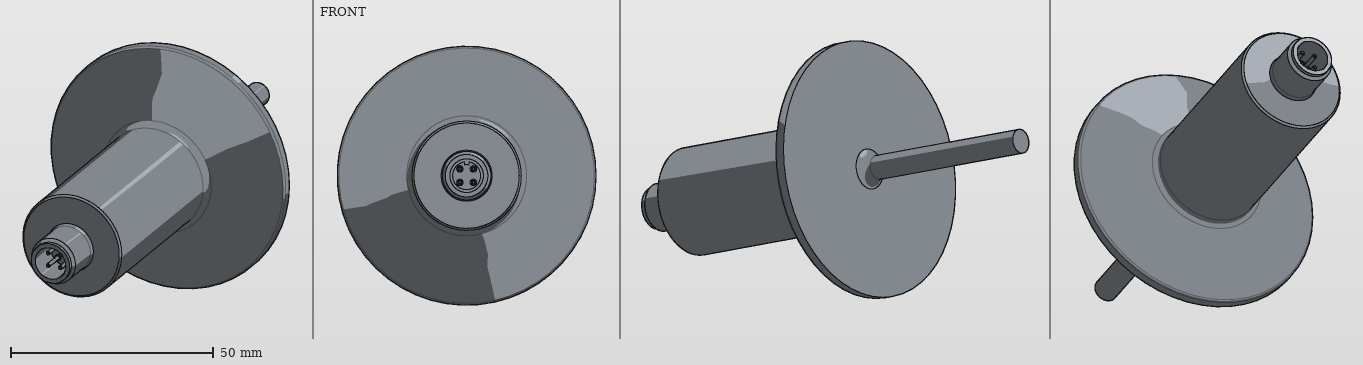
import cadquery as cq
import math


ROD_DIAMETER = 6.0
ROD_LENGTH = 50.0
ROD_FLARE_RADIUS = 3.0
ROD_FLARE_BASE_DIAMETER = 10.0

FLANGE_DIAMETER = 64.0
RIM_THICKNESS = 2.2
RIM_EDGE_RADIUS = 0.7
FLANGE_SLOPE = 20.0
FLANGE_NECK_RADIUS = 2.0

HOUSING_DIAMETER = 27.0
HOUSING_END = -58.5
HOUSING_CHAMFER = 0.5
END_FACE_DROP = 0.7

PLUG_BASE_Y = HOUSING_END - END_FACE_DROP
PLUG_DIAMETER = 12.0
PLUG_TIP_DIAMETER = 10.5
PLUG_COLLAR_DIAMETER = 12.6
PLUG_COLLAR_LENGTH = 1.1
PART_END = -70.69
PLUG_TIP_LENGTH = 1.0

SOCKET_DIAMETER = 8.3
SOCKET_DEPTH = 9.0
SOCKET_FLOOR_Y = PART_END + SOCKET_DEPTH
INSERT_DIAMETER = 6.9
INSERT_HEIGHT = 1.0
INSERT_TOP_Y = SOCKET_FLOOR_Y - INSERT_HEIGHT
KEYWAY_WIDTH = 1.1
KEYWAY_ROOT_DIAMETER = 5.44
PIN_DIAMETER = 1.0
PIN_TIP_CHAMFER = 0.2
PIN_CIRCLE_DIAMETER = 4.7
PIN_COUNT = 4
PIN_FIRST_ANGLE = 45.0
PIN_RECESS = 2.0
PIN_COLLAR_DIAMETER = 1.6
PIN_COLLAR_HEIGHT = 0.3


def turn(outline):
    """Solid of revolution about Y from a closed outline in the XY plane."""
    return outline.close().revolve(360, (0, 0, 0), (0, 1, 0))


def make_probe():
    """Rod with a concave flare: an arc tangent to the rod that ends on the flange face."""
    rod_r = ROD_DIAMETER / 2
    flare_r = ROD_FLARE_BASE_DIAMETER / 2
    flare_turn = math.acos(1 - (flare_r - rod_r) / ROD_FLARE_RADIUS)
    flare_start_y = ROD_FLARE_RADIUS * math.sin(flare_turn)
    flare_mid = (
        rod_r + ROD_FLARE_RADIUS * (1 - math.cos(flare_turn / 2)),
        flare_start_y - ROD_FLARE_RADIUS * math.sin(flare_turn / 2),
    )
    return turn(
        cq.Workplane("XY")
        .moveTo(0, ROD_LENGTH)
        .lineTo(rod_r, ROD_LENGTH)
        .lineTo(rod_r, flare_start_y)
        .threePointArc(flare_mid, (flare_r, 0))
        .lineTo(0, 0)
    )


def make_flange_and_housing():
    flange_r = FLANGE_DIAMETER / 2
    housing_r = HOUSING_DIAMETER / 2
    slope = math.radians(FLANGE_SLOPE)
    arc_turn = math.pi / 2 - slope

    def rim_edge_point(angle):
        return (
            flange_r - RIM_EDGE_RADIUS * (1 - math.cos(angle)),
            -RIM_THICKNESS - RIM_EDGE_RADIUS * math.sin(angle),
        )

    cone_start_r, cone_start_y = rim_edge_point(arc_turn)
    cone_end_r = housing_r + FLANGE_NECK_RADIUS * (1 - math.cos(arc_turn))
    cone_end_y = cone_start_y - (cone_start_r - cone_end_r) * math.tan(slope)
    neck_end_y = cone_end_y - FLANGE_NECK_RADIUS * math.sin(arc_turn)
    neck_mid = (
        housing_r + FLANGE_NECK_RADIUS * (1 - math.cos(arc_turn / 2)),
        neck_end_y + FLANGE_NECK_RADIUS * math.sin(arc_turn / 2),
    )
    return turn(
        cq.Workplane("XY")
        .moveTo(0, 0)
        .lineTo(flange_r, 0)
        .lineTo(flange_r, -RIM_THICKNESS)
        .threePointArc(rim_edge_point(arc_turn / 2), (cone_start_r, cone_start_y))
        .lineTo(cone_end_r, cone_end_y)
        .threePointArc(neck_mid, (housing_r, neck_end_y))
        .lineTo(housing_r, HOUSING_END + HOUSING_CHAMFER)
        .lineTo(housing_r - HOUSING_CHAMFER, HOUSING_END)
        .lineTo(PLUG_COLLAR_DIAMETER / 2, PLUG_BASE_Y)
        .lineTo(0, PLUG_BASE_Y)
    )


def make_plug():
    plug_r = PLUG_DIAMETER / 2
    tip_r = PLUG_TIP_DIAMETER / 2
    tip_base_y = PART_END + PLUG_TIP_LENGTH
    return turn(
        cq.Workplane("XY")
        .moveTo(0, PLUG_BASE_Y)
        .lineTo(PLUG_COLLAR_DIAMETER / 2, PLUG_BASE_Y)
        .lineTo(plug_r, PLUG_BASE_Y - PLUG_COLLAR_LENGTH)
        .lineTo(plug_r, tip_base_y + plug_r - tip_r)
        .lineTo(tip_r, tip_base_y)
        .lineTo(tip_r, PART_END)
        .lineTo(0, PART_END)
    )


def cylinder(diameter, start_y, end_y):
    """Solid cylinder on the Y axis between two Y positions."""
    return (
        cq.Workplane("XZ", origin=(0, start_y, 0))
        .circle(diameter / 2)
        .extrude(start_y - end_y)
    )


def make_insert():
    """Raised pin carrier with a keyway on its +Z side."""
    insert = cylinder(INSERT_DIAMETER, SOCKET_FLOOR_Y, INSERT_TOP_Y)
    keyway = (
        cq.Workplane("XY")
        .box(KEYWAY_WIDTH, INSERT_HEIGHT, INSERT_DIAMETER / 2, centered=(True, False, False))
        .translate((0, INSERT_TOP_Y, 0))
        .cut(cylinder(KEYWAY_ROOT_DIAMETER, SOCKET_FLOOR_Y, INSERT_TOP_Y))
    )
    return insert.cut(keyway)


def make_pins():
    tip_y = PART_END + PIN_RECESS
    collar_y = INSERT_TOP_Y - PIN_COLLAR_HEIGHT
    pin = cylinder(PIN_DIAMETER, SOCKET_FLOOR_Y, tip_y).faces("<Y").chamfer(PIN_TIP_CHAMFER)
    pin = pin.union(cylinder(PIN_COLLAR_DIAMETER, SOCKET_FLOOR_Y, collar_y))
    pin = pin.translate((PIN_CIRCLE_DIAMETER / 2, 0, 0))
    pins = cq.Workplane("XY")
    for index in range(PIN_COUNT):
        angle = PIN_FIRST_ANGLE + index * 360 / PIN_COUNT
        pins = pins.add(pin.rotate((0, 0, 0), (0, 1, 0), angle))
    return pins.combine()


socket = cylinder(SOCKET_DIAMETER, SOCKET_FLOOR_Y, PART_END)
body = make_probe().union(make_flange_and_housing()).union(make_plug())
result = body.cut(socket).union(make_insert()).union(make_pins())